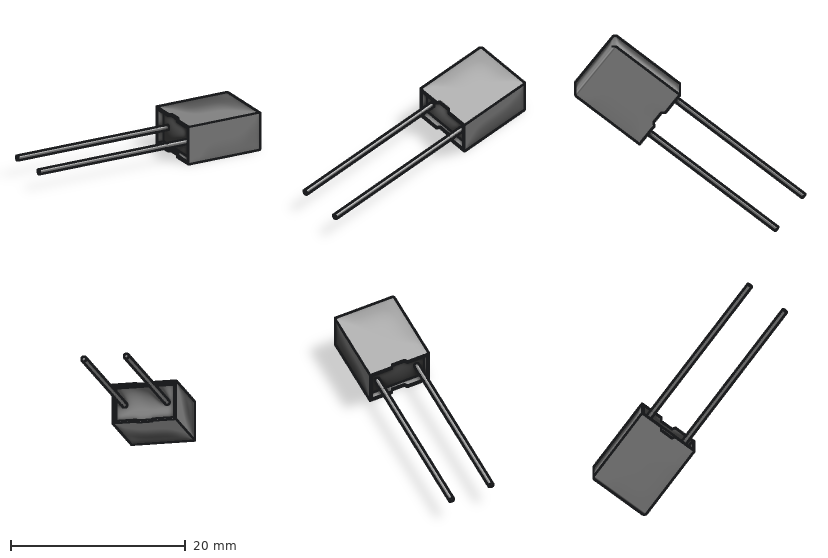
import cadquery as cq

TOTAL_LENGTH = 28.6
CASE_WIDTH = 7.5
CASE_LENGTH = 9.6
CASE_HEIGHT = 4.6

WALL = 0.25
END_FILLET = 0.43
NOTCH_DEPTH = 0.35
NOTCH_MOUTH_WIDTH = 2.0
NOTCH_FLOOR_WIDTH = 1.55

FILLING_RECESS = 0.8
LEAD_DIAMETER = 0.6
LEAD_PITCH = 5.0

CAVITY_END = CASE_LENGTH - WALL
LEAD_TIP = CASE_LENGTH - TOTAL_LENGTH


def block(width, height, start, end):
    """Box centred on the Y axis, reaching from start to end along Y."""
    return cq.Workplane("XY").box(width, end - start, height).translate((0, (start + end) / 2, 0))


def cavity_block(start):
    """Block that fits the inside of the case, from start to the closed end."""
    return block(CASE_WIDTH - 2 * WALL, CASE_HEIGHT - 2 * WALL, start, CAVITY_END)


def rim_notch():
    """Trapezoid that cuts a notch through the rim of both broad walls."""
    return (
        cq.Workplane("XY")
        .moveTo(-NOTCH_MOUTH_WIDTH / 2, 0)
        .lineTo(-NOTCH_FLOOR_WIDTH / 2, NOTCH_DEPTH)
        .lineTo(NOTCH_FLOOR_WIDTH / 2, NOTCH_DEPTH)
        .lineTo(NOTCH_MOUTH_WIDTH / 2, 0)
        .close()
        .extrude(CASE_HEIGHT, both=True)
    )


def make_case():
    """Open box with a rounded closed end and notched rim."""
    outside = block(CASE_WIDTH, CASE_HEIGHT, 0, CASE_LENGTH).faces(">Y").edges().fillet(END_FILLET)
    return outside.cut(cavity_block(0)).cut(rim_notch())


def make_filling():
    """Solid core that fills the case up to a recess behind the rim."""
    return cavity_block(FILLING_RECESS)


def make_lead(x):
    """Straight round wire from the face of the filling to the lead tip."""
    return (
        cq.Workplane("XZ", origin=(x, FILLING_RECESS, 0))
        .circle(LEAD_DIAMETER / 2)
        .extrude(FILLING_RECESS - LEAD_TIP)
    )


case = make_case()
filling = make_filling()
leads = [make_lead(side * LEAD_PITCH / 2) for side in (-1, 1)]

result = cq.Compound.makeCompound([case.val(), filling.val(), *[lead.val() for lead in leads]])